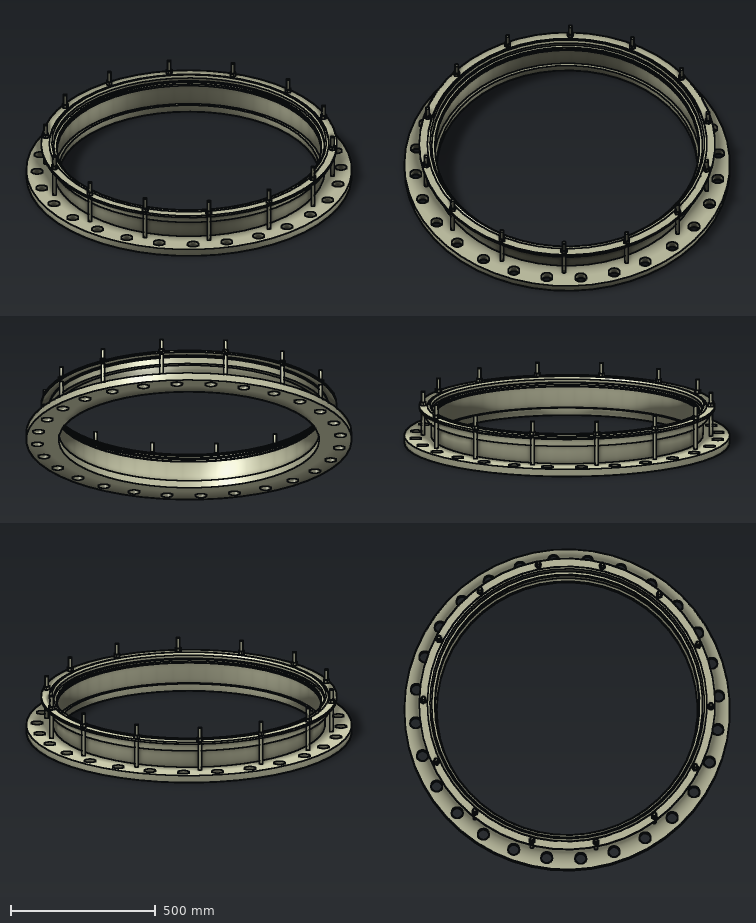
import cadquery as cq
import math

flange_radius = 1125 / 2
flange_bore_radius = 450
flange_thickness = 26
bolt_hole_count = 28
bolt_circle_radius = 525
bolt_hole_diameter = 39

shell_bore_radius = 461
shell_radius = 470
bell_radius = 487
bell_base_z = 91
bell_top_z = 119
bell_chamfer = 4

lip_radius = 456
lip_base_z = 100
lip_top_z = 113
lip_chamfer_width = 2
lip_chamfer_height = 6
bead_inner_radius = 468
bead_outer_radius = 483
bead_ridge_radius = 474
bead_ridge_z = 133
bead_shoulder_z = 124

gland_radius = 511
gland_top_z = 130.5
gland_thickness = 7
gland_base_z = gland_top_z - gland_thickness

stud_count = 14
stud_circle_radius = 497
stud_diameter = 12
stud_top_z = 178
stud_embed = 1
nut_across_flats = 18
nut_height = 11


def revolved(profile):
    """Turn a radius/height profile drawn on the XZ plane about the Z axis."""
    return profile.close().revolve(360, (0, 0, 0), (0, 1, 0))


def ring(inner_radius, outer_radius, base_z, top_z):
    """Plain ring of rectangular section."""
    return (
        cq.Workplane("XY", origin=(0, 0, base_z))
        .circle(outer_radius)
        .circle(inner_radius)
        .extrude(top_z - base_z)
    )


def make_flange():
    """Flat flange with bolt holes straddling the X and Y axes."""
    hole_start_angle = 360 / bolt_hole_count / 2
    holes = (
        cq.Workplane("XY")
        .polarArray(bolt_circle_radius, hole_start_angle, 360, bolt_hole_count)
        .circle(bolt_hole_diameter / 2)
        .extrude(flange_thickness)
    )
    return ring(flange_bore_radius, flange_radius, 0, flange_thickness).cut(holes)


def make_shell():
    """Shell wall with the bell step and its chamfered rim, as one section."""
    return revolved(
        cq.Workplane("XZ")
        .moveTo(shell_bore_radius, flange_thickness)
        .lineTo(shell_radius, flange_thickness)
        .lineTo(shell_radius, bell_base_z)
        .lineTo(bell_radius, bell_base_z)
        .lineTo(bell_radius, bell_top_z - bell_chamfer)
        .lineTo(bell_radius - bell_chamfer, bell_top_z)
        .lineTo(bead_inner_radius, bell_top_z)
        .lineTo(bead_inner_radius, lip_top_z)
        .lineTo(shell_bore_radius, lip_top_z)
    )


def make_seal():
    """Seal with a chamfered lip and a bead: rounded outside, sloped inside, meeting in a ridge."""
    ridge_width = bead_outer_radius - bead_ridge_radius
    ridge_height = bead_ridge_z - bead_shoulder_z
    arc_middle = (
        bead_ridge_radius + ridge_width * math.cos(math.pi / 4),
        bead_shoulder_z + ridge_height * math.sin(math.pi / 4),
    )
    return revolved(
        cq.Workplane("XZ")
        .moveTo(lip_radius, lip_base_z)
        .lineTo(bead_outer_radius, lip_base_z)
        .lineTo(bead_outer_radius, bead_shoulder_z)
        .threePointArc(arc_middle, (bead_ridge_radius, bead_ridge_z))
        .lineTo(bead_inner_radius, bead_shoulder_z)
        .lineTo(bead_inner_radius, lip_top_z)
        .lineTo(lip_radius + lip_chamfer_width, lip_top_z)
        .lineTo(lip_radius, lip_top_z - lip_chamfer_height)
    )


def make_stud():
    """Stud standing on the flange at +X, with a nut on the gland, two flats facing the axis."""
    base_z = flange_thickness - stud_embed
    rod = (
        cq.Workplane("XY", origin=(stud_circle_radius, 0, base_z))
        .circle(stud_diameter / 2)
        .extrude(stud_top_z - base_z)
    )
    nut_across_corners = nut_across_flats / math.cos(math.pi / 6)
    nut = (
        cq.Workplane("XY", origin=(stud_circle_radius, 0, gland_top_z))
        .transformed(rotate=(0, 0, 30))
        .polygon(6, nut_across_corners)
        .extrude(nut_height)
    )
    return rod.union(nut)


result = make_flange().union(make_shell()).union(make_seal())
result = result.union(ring(bead_outer_radius, gland_radius, gland_base_z, gland_top_z))
stud = make_stud()
for index in range(stud_count):
    result = result.union(stud.rotate((0, 0, 0), (0, 0, 1), index * 360 / stud_count))